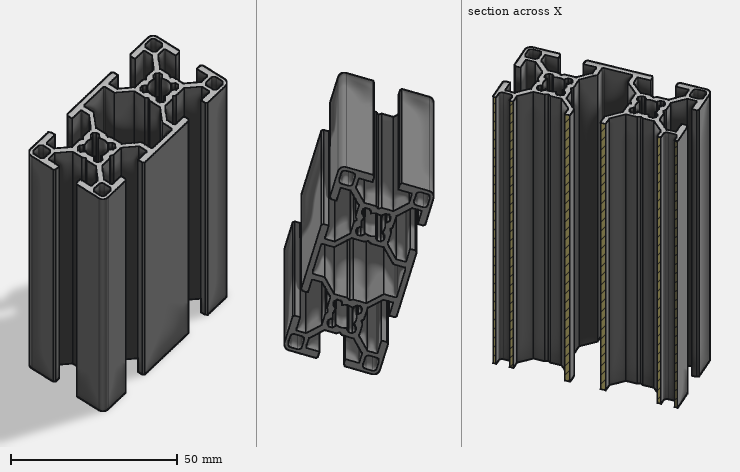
import cadquery as cq
import math

MODULE = 30.0
HALF = MODULE / 2
LENGTH = 100.0
CELL_OFFSET = MODULE / 2
CORNER_RADIUS = 2.0
OVERCUT = 1.0

MOUTH_HALF = 4.05
LIP_THICKNESS = 2.25
LIP_CHAMFER_WIDTH = 0.45
LIP_CHAMFER_DEPTH = 0.6
POCKET_HALF = 8.35
POCKET_FILLET = 0.3
CORE_HALF = 5.85
WEB_OFFSET = 1.3
NOTCH_HALF = 0.9
NOTCH_DEPTH = 0.6

BORE_RADIUS = 3.62
LOBE_CENTER = 3.1
LOBE_SIDES = 8
LOBE_WIDTH = 2.6

CORNER_HOLE_SIZE = 4.3
CORNER_HOLE_CENTER = 11.75
CORNER_HOLE_FILLET = 1.1

CHAMBER_WALL = 1.75
CHAMBER_FILLET = 0.5
CHAMBER_WEB_OFFSET = 0.8


def cell_centers():
    return [(0, -CELL_OFFSET), (0, CELL_OFFSET)]


def make_blank():
    blank = cq.Workplane("XY").box(MODULE, 2 * MODULE, LENGTH, centered=(True, True, False))
    return blank.edges("|Z").fillet(CORNER_RADIUS)


def make_slot():
    """T-slot cutter opening toward +Y, with the core centre at the origin."""
    lip_inner = HALF - LIP_THICKNESS
    right_side = [
        (NOTCH_HALF, CORE_HALF),
        (CORE_HALF - WEB_OFFSET, CORE_HALF),
        (POCKET_HALF, POCKET_HALF + WEB_OFFSET),
        (POCKET_HALF, lip_inner),
        (MOUTH_HALF, lip_inner),
        (MOUTH_HALF, HALF - LIP_CHAMFER_DEPTH),
        (MOUTH_HALF + LIP_CHAMFER_WIDTH, HALF),
        (MOUTH_HALF + LIP_CHAMFER_WIDTH, HALF + OVERCUT),
    ]
    left_side = [(-x, y) for x, y in reversed(right_side)]
    notch_tip = (0, CORE_HALF - NOTCH_DEPTH)
    slot = cq.Workplane("XY").polyline([notch_tip] + right_side + left_side).close().extrude(LENGTH)
    pocket_corners = [
        edge
        for edge in slot.edges("|Z").vals()
        if abs(edge.Center().x) > POCKET_HALF - POCKET_FILLET and edge.Center().y > lip_inner - POCKET_FILLET
    ]
    return slot.newObject(pocket_corners).fillet(POCKET_FILLET)


def cut_slots(body):
    """Three slots per core: the two long sides and the end; none between the cores."""
    slot = make_slot()
    for center_y, angles in ((CELL_OFFSET, (-90, 0, 90)), (-CELL_OFFSET, (90, 180, 270))):
        for angle in angles:
            turned = slot.rotate((0, 0, 0), (0, 0, 1), angle)
            body = body.cut(turned.translate((0, center_y, 0)))
    return body


def cut_core_bores(body):
    """Round bore with four octagonal lobes on the diagonals."""
    bore = cq.Workplane("XY").circle(BORE_RADIUS).extrude(LENGTH)
    half_side_angle = 180 / LOBE_SIDES
    across_corners = LOBE_WIDTH / math.cos(math.radians(half_side_angle))
    lobe = cq.Workplane("XY").polygon(LOBE_SIDES, across_corners).extrude(LENGTH)
    lobe = lobe.rotate((0, 0, 0), (0, 0, 1), half_side_angle)
    for x in (-LOBE_CENTER, LOBE_CENTER):
        for y in (-LOBE_CENTER, LOBE_CENTER):
            bore = bore.union(lobe.translate((x, y, 0)))
    for x, y in cell_centers():
        body = body.cut(bore.translate((x, y, 0)))
    return body


def cut_corner_holes(body):
    holes = (
        cq.Workplane("XY")
        .rect(2 * CORNER_HOLE_CENTER, 2 * (CELL_OFFSET + CORNER_HOLE_CENTER), forConstruction=True)
        .vertices()
        .rect(CORNER_HOLE_SIZE, CORNER_HOLE_SIZE)
        .extrude(LENGTH)
        .edges("|Z")
        .fillet(CORNER_HOLE_FILLET)
    )
    return body.cut(holes)


def cut_chamber(body):
    """Large cavity between the cores, with a V groove in each core face."""
    wall_x = HALF - CHAMBER_WALL
    end_y = CELL_OFFSET - POCKET_HALF - CHAMBER_WALL
    shoulder_x = POCKET_HALF + CHAMBER_WALL - CHAMBER_WEB_OFFSET
    core_y = CELL_OFFSET - CORE_HALF
    core_x = CORE_HALF - CHAMBER_WEB_OFFSET
    upper_half = [
        (wall_x, end_y),
        (shoulder_x, end_y),
        (core_x, core_y),
        (NOTCH_HALF, core_y),
        (0, core_y + NOTCH_DEPTH),
        (-NOTCH_HALF, core_y),
        (-core_x, core_y),
        (-shoulder_x, end_y),
        (-wall_x, end_y),
    ]
    lower_half = [(-x, -y) for x, y in upper_half]
    chamber = cq.Workplane("XY").polyline(upper_half + lower_half).close().extrude(LENGTH)
    corners = chamber.edges("|Z and (<X or >X)")
    return body.cut(corners.fillet(CHAMBER_FILLET))


profile = make_blank()
profile = cut_slots(profile)
profile = cut_core_bores(profile)
profile = cut_corner_holes(profile)
profile = cut_chamber(profile)
result = profile